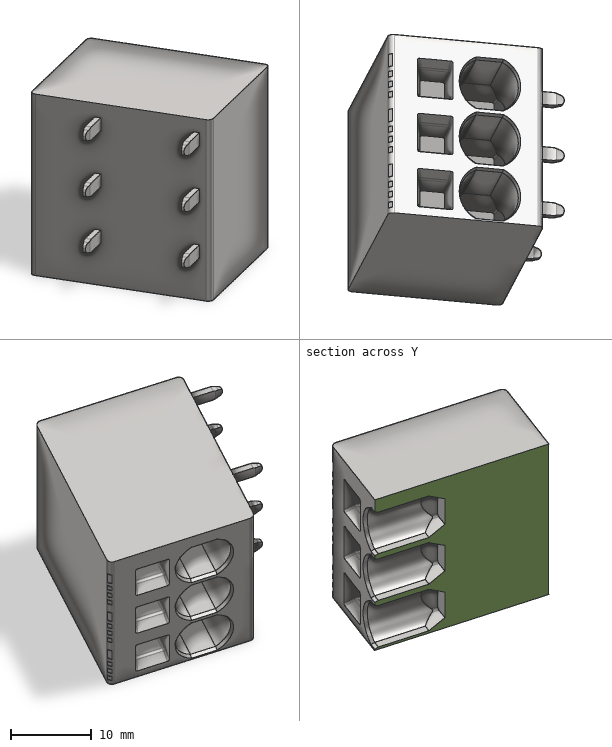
import cadquery as cq
import math

WIDTH = 24.15
DEPTH = 19.6
HEIGHT = 24.3
EDGE_RADIUS = 0.7

POLE_COUNT = 3
POLE_PITCH = 7.5
TOP_POLE_Z = HEIGHT - 5.55
POLE_LEVELS = [TOP_POLE_Z - i * POLE_PITCH for i in range(POLE_COUNT)]

PIN_LENGTH = 4.6
PIN_ABOVE_POLE = 2.8
PIN_PLACES_X = (9.05, 22.19)
PIN_THICKNESS = 0.8
PIN_HEIGHT = 1.75
PIN_SHOULDER = 3.23
PIN_NECK = 3.94
PIN_NECK_HEIGHT = 1.35
PIN_BEVEL_START = 3.57
PIN_TIP_THICKNESS = 0.35

ENTRY_Y = DEPTH - 12.8
ENTRY_DIAMETER = 7.4
ENTRY_FLAT_HEIGHT = 6.6
ENTRY_CHAMFER = 0.2
ENTRY_CHAMFER_ANGLE = 22.0
ENTRY_DEPTH = 9.72
ENTRY_FLOOR_WIDTH = 5.32
ENTRY_FLOOR_HEIGHT = 4.05
ENTRY_FUNNEL_ANGLE = 30.0
ENTRY_FUNNEL_RADIUS = 0.36

POCKET_BACK_Y = DEPTH - 3.62
POCKET_WIDTH = 4.52
POCKET_HEIGHT = 5.22
POCKET_THROAT_HEIGHT = 3.75
POCKET_LEAD_IN = 1.45
POCKET_DEPTH = 4.85
POCKET_BACK_SLOPE = 1.35
POCKET_LIP_RADIUS = 0.97
POCKET_CORNER_RADIUS = 0.3

FLAT_SETBACK = 0.5
FLAT_ROWS = ((2.1, 1.68), (0.22, 0.75), (-1.17, 0.75), (-2.58, 0.75))

OVERCUT = 0.25


def housing():
    block = cq.Workplane("XY").box(WIDTH, DEPTH, HEIGHT, centered=False)
    return block.edges("|Z").fillet(EDGE_RADIUS)


def pin(x, z):
    """Flat pin pointing to -Y, with a rounded tip bevelled on both sides."""
    side = (
        cq.Workplane("YZ", origin=(x, 0, z))
        .moveTo(OVERCUT, PIN_HEIGHT / 2)
        .lineTo(-PIN_SHOULDER, PIN_HEIGHT / 2)
        .lineTo(-PIN_NECK, PIN_NECK_HEIGHT / 2)
        .threePointArc((-PIN_LENGTH, 0), (-PIN_NECK, -PIN_NECK_HEIGHT / 2))
        .lineTo(-PIN_SHOULDER, -PIN_HEIGHT / 2)
        .lineTo(OVERCUT, -PIN_HEIGHT / 2)
        .close()
        .extrude(PIN_THICKNESS / 2, both=True)
    )
    plan = (
        cq.Workplane("XY", origin=(x, 0, z))
        .moveTo(-PIN_THICKNESS / 2, OVERCUT)
        .lineTo(-PIN_THICKNESS / 2, -PIN_BEVEL_START)
        .lineTo(-PIN_TIP_THICKNESS / 2, -PIN_LENGTH)
        .lineTo(PIN_TIP_THICKNESS / 2, -PIN_LENGTH)
        .lineTo(PIN_THICKNESS / 2, -PIN_BEVEL_START)
        .lineTo(PIN_THICKNESS / 2, OVERCUT)
        .close()
        .extrude(PIN_HEIGHT / 2, both=True)
    )
    return side.intersect(plan)


def flatted_bore(diameter, flat_height, depth, z, taper=0):
    """Round cutter with flat top and bottom, running inward from the left face."""
    start = cq.Workplane("YZ", origin=(0, ENTRY_Y, z))
    cylinder = start.circle(diameter / 2).extrude(depth, taper=taper)
    slab = start.rect(diameter, flat_height).extrude(depth, taper=taper)
    return cylinder.intersect(slab)


def wire_entry(z):
    bore = flatted_bore(ENTRY_DIAMETER, ENTRY_FLAT_HEIGHT, ENTRY_DEPTH, z)
    funnel_growth = 2 * ENTRY_DEPTH * math.tan(math.radians(ENTRY_FUNNEL_ANGLE))
    funnel = (
        cq.Workplane("YZ", origin=(0, ENTRY_Y, z))
        .rect(ENTRY_FLOOR_WIDTH + funnel_growth, ENTRY_FLOOR_HEIGHT + funnel_growth)
        .extrude(ENTRY_DEPTH, taper=ENTRY_FUNNEL_ANGLE)
        .edges("not(#X or |Y or |Z)")
        .fillet(ENTRY_FUNNEL_RADIUS)
    )
    mouth = flatted_bore(
        ENTRY_DIAMETER + 2 * ENTRY_CHAMFER,
        ENTRY_FLAT_HEIGHT + 2 * ENTRY_CHAMFER,
        ENTRY_CHAMFER / math.tan(math.radians(ENTRY_CHAMFER_ANGLE)),
        z,
        taper=ENTRY_CHAMFER_ANGLE,
    )
    return bore.intersect(funnel).union(mouth)


def release_pocket(z):
    """Pocket with a sloping rear wall and a lead-in above and below its throat."""
    front_y = POCKET_BACK_Y - POCKET_WIDTH
    plan = (
        cq.Workplane("XY", origin=(0, 0, z))
        .moveTo(0, front_y)
        .lineTo(0, POCKET_BACK_Y)
        .lineTo(POCKET_DEPTH, POCKET_BACK_Y - POCKET_BACK_SLOPE)
        .lineTo(POCKET_DEPTH, front_y)
        .close()
        .extrude(POCKET_HEIGHT / 2, both=True)
    )
    mouth_half = POCKET_HEIGHT / 2
    throat_half = POCKET_THROAT_HEIGHT / 2
    tilt = math.atan((mouth_half - throat_half) / POCKET_LEAD_IN)
    lip_reach = POCKET_LIP_RADIUS * math.tan(tilt / 2)
    lip_start_x = POCKET_LEAD_IN - lip_reach * math.cos(tilt)
    lip_start_half = throat_half + lip_reach * math.sin(tilt)
    lip_end_x = POCKET_LEAD_IN + lip_reach
    section = (
        cq.Workplane("XZ", origin=(0, POCKET_BACK_Y, z))
        .moveTo(0, mouth_half)
        .lineTo(lip_start_x, lip_start_half)
        .radiusArc((lip_end_x, throat_half), -POCKET_LIP_RADIUS)
        .lineTo(POCKET_DEPTH, throat_half)
        .lineTo(POCKET_DEPTH, -throat_half)
        .lineTo(lip_end_x, -throat_half)
        .radiusArc((lip_start_x, -lip_start_half), -POCKET_LIP_RADIUS)
        .lineTo(0, -mouth_half)
        .close()
        .extrude(POCKET_WIDTH)
    )
    return plan.intersect(section).edges("not(|Y or |Z)").fillet(POCKET_CORNER_RADIUS)


def edge_flat(z, height):
    """Triangular cutter that flattens a short stretch of the rear left edge."""
    return (
        cq.Workplane("XY", origin=(0, DEPTH, z - height / 2))
        .lineTo(FLAT_SETBACK, 0)
        .lineTo(0, -FLAT_SETBACK)
        .close()
        .extrude(height)
    )


result = housing()
for pole_z in POLE_LEVELS:
    result = result.cut(wire_entry(pole_z))
    result = result.cut(release_pocket(pole_z))
    for offset, flat_height in FLAT_ROWS:
        result = result.cut(edge_flat(pole_z + offset, flat_height))
    for pin_x in PIN_PLACES_X:
        result = result.union(pin(pin_x, pole_z + PIN_ABOVE_POLE))